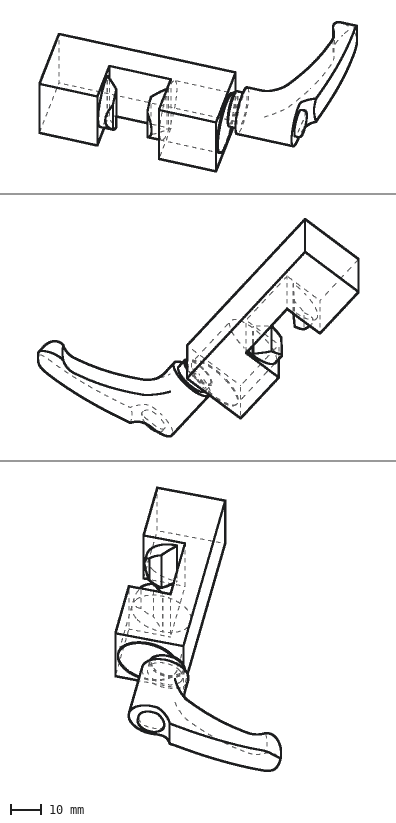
import cadquery as cq
import math

BLOCK_LENGTH = 60.0
BLOCK_DEPTH = 22.8
BLOCK_HEIGHT = 24.0
SLOT_LEFT = 19.7
SLOT_RIGHT = 40.6
SLOT_FLOOR_Y = 13.9

JAW_DIAMETER = 20.0
JAW_AXIS_Y = 10.9
JAW_PROJECTION = 4.4
JAW_PROTRUSION = 0.4
NOSE_TOP_Y = 11.3
NOSE_FLAT_TOP_Y = 7.05
NOSE_FLAT_BOTTOM_Y = 3.0
FIXED_TIP_X = SLOT_LEFT + JAW_PROJECTION
MOVING_TIP_X = SLOT_RIGHT - JAW_PROJECTION - JAW_PROTRUSION

LEVER_AXIS_Y = 17.5
NECK_DIAMETER = 10.85
COLLAR_DIAMETER = 11.8
BARREL_DIAMETER = 15.55
BUTTON_DIAMETER = 8.95
COLLAR_X = 60.6
BARREL_X = 63.7
BARREL_END_X = 82.8
BUTTON_END_X = 84.6
BUTTON_ROUND = 0.7

ARM_WIDTH = 11.2
ARM_SLEEVE_RADIUS = BARREL_DIAMETER / 2 + 0.1
ARM_FLARE_RADIUS = 10.7
ARM_HEEL_X = 85.9
ARM_HEEL_RADIUS = 5.4
ARM_LENGTH = 44.4
ARM_END_X = 90.4
UNDERCUT_START = 1.8
UNDERCUT_END_X = 87.7


def x_cylinder(diameter, start_x, end_x, axis_y):
    """Solid cylinder along X, centred on Z = 0."""
    return (
        cq.Workplane("YZ", origin=(start_x, axis_y, 0))
        .circle(diameter / 2)
        .extrude(end_x - start_x)
    )


def make_jaw(outer_x, wall_x, tip_x):
    """Disc from outer_x to the slot wall, with a wedge nose reaching tip_x."""
    direction = math.copysign(1, tip_x - wall_x)
    rear_run = NOSE_TOP_Y - NOSE_FLAT_TOP_Y
    disc_bottom_y = JAW_AXIS_Y - JAW_DIAMETER / 2
    front_run = NOSE_FLAT_BOTTOM_Y - disc_bottom_y
    disc = x_cylinder(JAW_DIAMETER, min(outer_x, wall_x), max(outer_x, wall_x), JAW_AXIS_Y)
    nose_blank = x_cylinder(JAW_DIAMETER, min(wall_x, tip_x), max(wall_x, tip_x), JAW_AXIS_Y)
    wedge = (
        cq.Workplane("XY")
        .moveTo(wall_x, NOSE_TOP_Y)
        .lineTo(tip_x - direction * rear_run, NOSE_TOP_Y)
        .lineTo(tip_x, NOSE_FLAT_TOP_Y)
        .lineTo(tip_x, NOSE_FLAT_BOTTOM_Y)
        .lineTo(tip_x - direction * front_run, disc_bottom_y)
        .lineTo(wall_x, disc_bottom_y)
        .close()
        .extrude(JAW_DIAMETER / 2, both=True)
    )
    return disc.union(nose_blank.intersect(wedge))


def make_clamp_block():
    """Slotted block with the fixed jaw, bored for the moving jaw."""
    block = cq.Workplane("XY").box(
        BLOCK_LENGTH, BLOCK_DEPTH, BLOCK_HEIGHT, centered=(False, False, True)
    )
    slot = (
        cq.Workplane("XY", origin=(SLOT_LEFT, 0, 0))
        .box(SLOT_RIGHT - SLOT_LEFT, SLOT_FLOOR_Y, BLOCK_HEIGHT, centered=(False, False, True))
    )
    jaw_bore = x_cylinder(JAW_DIAMETER, SLOT_RIGHT, BLOCK_LENGTH, JAW_AXIS_Y)
    fixed_jaw = make_jaw(0, SLOT_LEFT, FIXED_TIP_X)
    return block.cut(slot).cut(jaw_bore).union(fixed_jaw, clean=False)


def make_arm_sweep():
    """Arm side profile turned about the lever axis; radii are measured from that axis."""
    return (
        cq.Workplane("XY", origin=(0, LEVER_AXIS_Y, 0))
        .moveTo(BARREL_X, 0)
        .lineTo(BARREL_X, ARM_SLEEVE_RADIUS)
        .lineTo(68.9, ARM_SLEEVE_RADIUS)
        .threePointArc((72.9, 8.95), (76.3, 11.8))
        .threePointArc((81.2, 21.4), (84.4, 32.3))
        .threePointArc((84.6, 35.6), (83.3, 38.7))
        .threePointArc((84.2, 42.75), (87.85, ARM_LENGTH))
        .threePointArc((89.6, 43.9), (ARM_END_X, 42.2))
        .threePointArc((89.5, 23.5), (ARM_HEEL_X, ARM_HEEL_RADIUS))
        .lineTo(ARM_HEEL_X, 0)
        .close()
        .revolve(360, (0, 0, 0), (1, 0, 0))
    )


def make_arm_section():
    """Arm cross-section along X: round tip, flat sides, flared foot tangent to the barrel."""
    half_width = ARM_WIDTH / 2
    barrel_radius = BARREL_DIAMETER / 2
    flare_z = half_width + ARM_FLARE_RADIUS
    flare_reach = barrel_radius + ARM_FLARE_RADIUS
    flare_y = math.sqrt(flare_reach**2 - flare_z**2)
    foot_y = flare_y * barrel_radius / flare_reach
    foot_z = flare_z * barrel_radius / flare_reach
    foot_angle = math.atan2(flare_y, flare_z)
    middle_angle = foot_angle / 2
    middle_y = flare_y - ARM_FLARE_RADIUS * math.sin(middle_angle)
    middle_z = flare_z - ARM_FLARE_RADIUS * math.cos(middle_angle)
    tip_round_y = ARM_LENGTH - half_width
    return (
        cq.Workplane("YZ", origin=(BARREL_X, LEVER_AXIS_Y, 0))
        .moveTo(0, 0)
        .lineTo(foot_y, foot_z)
        .threePointArc((middle_y, middle_z), (flare_y, half_width))
        .lineTo(tip_round_y, half_width)
        .threePointArc((ARM_LENGTH, 0), (tip_round_y, -half_width))
        .lineTo(flare_y, -half_width)
        .threePointArc((middle_y, -middle_z), (foot_y, -foot_z))
        .close()
        .extrude(ARM_END_X - BARREL_X)
    )


def make_arm_undercut():
    """Space under the arm heel, which also trims the barrel to its end face."""
    return (
        cq.Workplane("XY", origin=(0, LEVER_AXIS_Y, 0))
        .moveTo(BARREL_END_X, -BARREL_DIAMETER)
        .lineTo(BARREL_END_X, UNDERCUT_START)
        .threePointArc((84.2, 5.0), (UNDERCUT_END_X, 7.3))
        .lineTo(UNDERCUT_END_X, -BARREL_DIAMETER)
        .close()
        .extrude(BARREL_DIAMETER, both=True)
    )


def make_clamping_lever():
    """Moving jaw, neck, collar, barrel, end button and arm as one solid."""
    moving_jaw = make_jaw(BLOCK_LENGTH + JAW_PROTRUSION, SLOT_RIGHT, MOVING_TIP_X)
    neck = x_cylinder(NECK_DIAMETER, BLOCK_LENGTH, COLLAR_X, LEVER_AXIS_Y)
    collar = x_cylinder(COLLAR_DIAMETER, COLLAR_X, BARREL_X, LEVER_AXIS_Y)
    barrel = x_cylinder(BARREL_DIAMETER, BARREL_X, ARM_HEEL_X, LEVER_AXIS_Y)
    button = x_cylinder(BUTTON_DIAMETER, BARREL_END_X, BUTTON_END_X, LEVER_AXIS_Y)
    button = button.faces(">X").edges().fillet(BUTTON_ROUND)
    arm = make_arm_sweep().intersect(make_arm_section())
    handle = barrel.union(arm).cut(make_arm_undercut())
    return moving_jaw.union(neck).union(collar).union(handle).union(button)


clamp_block = make_clamp_block()
clamping_lever = make_clamping_lever()

result = cq.Compound.makeCompound([clamp_block.val(), clamping_lever.val()])